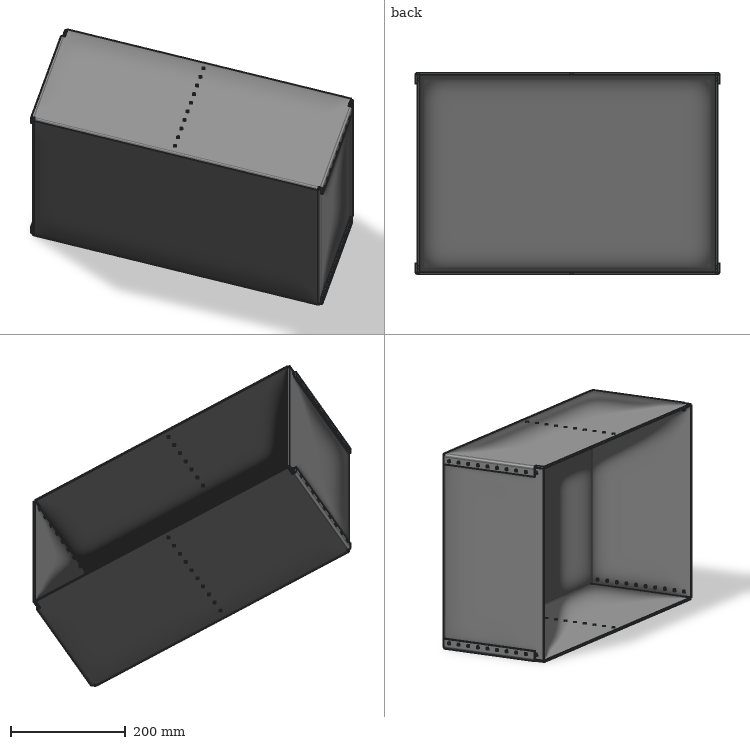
import cadquery as cq

length = 531.0
depth = 202.0
height = 351.5

sheet = 3.45
bend_radius = 5.05

panel_width = 516.0
flange_height = 19.0
flange_back_setback = 16.0

hole_diameter = 4.5
hole_count = 10
hole_row_length = 173.0
side_hole_back_margin = 14.0
side_hole_edge_distance = 12.0
panel_hole_back_margin = 11.5
panel_hole_x = -7.0

half_depth = depth / 2
half_height = height / 2
wall_span = length - 2 * sheet
wall_height = height - 2 * sheet
flange_back_y = half_depth - flange_back_setback
flange_front_y = -half_depth + bend_radius
hole_pitch = hole_row_length / (hole_count - 1)


def folded_sheet(block, bend_edges, open_faces):
    """Round the bend edges of a solid block and hollow it to the sheet thickness."""
    return block.edges(bend_edges).fillet(bend_radius).faces(open_faces).shell(-sheet)


def side_wall_channel():
    """Front panel bent back into the left and right walls."""
    block = cq.Workplane("XY").box(wall_span, depth, wall_height)
    return folded_sheet(block, "|Z and <Y", ">Y or >Z or <Z")


def top_bottom_channel():
    """Front panel bent back into the top and bottom panels."""
    block = cq.Workplane("XY").box(panel_width, depth, height)
    return folded_sheet(block, "|X and <Y", ">Y or >X or <X")


def side_flanges():
    """Edges of the top and bottom panels bent over the outside of the side walls."""
    flange_depth = flange_back_y - flange_front_y
    block = cq.Workplane("XY").box(length, flange_depth, height)
    sleeve = folded_sheet(block, "|Y", ">Y or <Y")
    gap_between_flanges = cq.Workplane("XY").box(length, flange_depth, height - 2 * flange_height)
    flange_middle_y = (flange_back_y + flange_front_y) / 2
    return sleeve.cut(gap_between_flanges).translate((0, flange_middle_y, 0))


def row_places(back_margin):
    """Y places of one row of holes, from the back edge forwards."""
    first = half_depth - back_margin
    return [first - i * hole_pitch for i in range(hole_count)]


def side_hole_pins():
    """Pins along X for the rows through both side walls, near the top and the bottom."""
    row_z = half_height - side_hole_edge_distance
    points = [(y, z) for y in row_places(side_hole_back_margin) for z in (row_z, -row_z)]
    return cq.Workplane("YZ").pushPoints(points).circle(hole_diameter / 2).extrude(length, both=True)


def panel_hole_pins():
    """Pins along Z for the row through the top and bottom panels."""
    points = [(panel_hole_x, y) for y in row_places(panel_hole_back_margin)]
    return cq.Workplane("XY").pushPoints(points).circle(hole_diameter / 2).extrude(height, both=True)


shell = side_wall_channel().union(top_bottom_channel()).union(side_flanges())
result = shell.cut(side_hole_pins()).cut(panel_hole_pins())